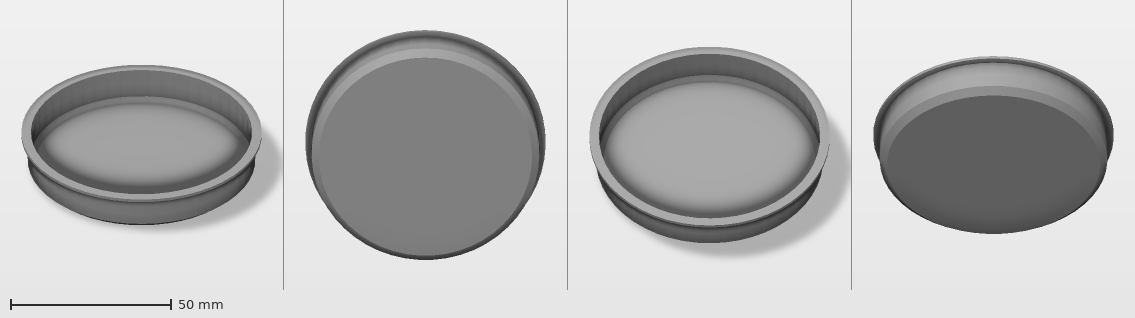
import cadquery as cq

height = 12.5
rim_diameter = 75.0
body_diameter = 71.0
cavity_diameter = 69.0

rim_thickness = 1.0
floor_thickness = 1.0

base_diameter = 66.5
outer_slope_height = 2.0
floor_diameter = 66.0
inner_slope_height = 1.7

rim_radius = rim_diameter / 2
body_radius = body_diameter / 2
cavity_radius = cavity_diameter / 2
base_radius = base_diameter / 2
floor_radius = floor_diameter / 2

section = (
    cq.Workplane("XZ")
    .moveTo(0, 0)
    .lineTo(base_radius, 0)
    .lineTo(body_radius, outer_slope_height)
    .lineTo(body_radius, height - rim_thickness)
    .lineTo(rim_radius, height - rim_thickness)
    .lineTo(rim_radius, height)
    .lineTo(cavity_radius, height)
    .lineTo(cavity_radius, floor_thickness + inner_slope_height)
    .lineTo(floor_radius, floor_thickness)
    .lineTo(0, floor_thickness)
    .close()
)

result = section.revolve(360, (0, 0, 0), (0, 1, 0))